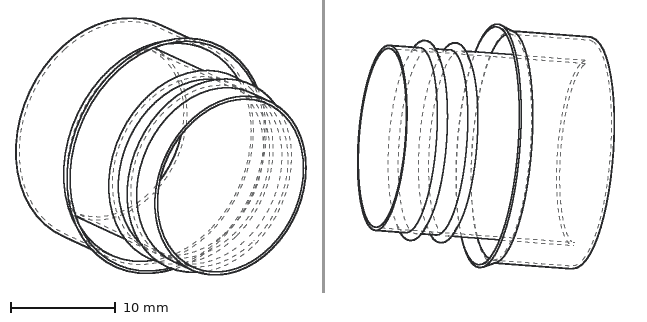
import cadquery as cq
import math

length = 20.0
wall = 0.3
bore_radius = 17.1 / 2
tube_radius = bore_radius + wall
sleeve_radius = 22.2 / 2
sleeve_bore_radius = sleeve_radius - wall
fold_radius = 0.5
inner_fold_radius = fold_radius - wall

flare_start = 8.18
flare_tip_x = 9.48
flare_tip_radius = 11.65

bead_centers = (13.5, 16.5)
bead_width = 1.0
bead_crown_radius = 0.2
bead_flank_angle = math.radians(28)


def arc_middle(center_x, center_r, radius, direction_x, direction_r):
    """Midpoint of a quarter arc facing the given diagonal direction."""
    offset = radius * math.sqrt(0.5)
    return center_x + direction_x * offset, center_r + direction_r * offset


def revolve_about_x(profile):
    return profile.close().revolve(360, (0, 0, 0), (1, 0, 0))


def folded_sheet():
    flare_angle = math.atan2(flare_tip_radius - sleeve_radius, flare_tip_x - flare_start)
    lip_inner_x = flare_tip_x + wall * math.sin(flare_angle)
    lip_inner_radius = flare_tip_radius - wall * math.cos(flare_angle)
    inner_bend_x = flare_start + wall * math.tan(flare_angle / 2)
    bore_fold_r = bore_radius + fold_radius
    sleeve_fold_r = sleeve_radius - fold_radius

    profile = (
        cq.Workplane("XY")
        .moveTo(length, bore_radius)
        .lineTo(fold_radius, bore_radius)
        .threePointArc(arc_middle(fold_radius, bore_fold_r, fold_radius, -1, -1), (0, bore_fold_r))
        .lineTo(0, sleeve_fold_r)
        .threePointArc(
            arc_middle(fold_radius, sleeve_fold_r, fold_radius, -1, 1),
            (fold_radius, sleeve_radius),
        )
        .lineTo(flare_start, sleeve_radius)
        .lineTo(flare_tip_x, flare_tip_radius)
        .lineTo(lip_inner_x, lip_inner_radius)
        .lineTo(inner_bend_x, sleeve_bore_radius)
        .lineTo(fold_radius, sleeve_bore_radius)
        .threePointArc(
            arc_middle(fold_radius, sleeve_fold_r, inner_fold_radius, -1, 1),
            (wall, sleeve_fold_r),
        )
        .lineTo(wall, bore_fold_r)
        .threePointArc(
            arc_middle(fold_radius, bore_fold_r, inner_fold_radius, -1, -1),
            (fold_radius, tube_radius),
        )
        .lineTo(length, tube_radius)
    )
    return revolve_about_x(profile)


def bead(center_x):
    """Ring with sloped flanks, a tangent round crown and its base in the tube wall."""
    half_width = bead_width / 2
    crown_half_width = bead_crown_radius * math.cos(bead_flank_angle)
    flank_height = (half_width - crown_half_width) / math.tan(bead_flank_angle)
    crown_rise = bead_crown_radius * (1 - math.sin(bead_flank_angle))
    flank_top = tube_radius + flank_height
    root_radius = tube_radius - wall / 2

    profile = (
        cq.Workplane("XY")
        .moveTo(center_x - half_width, root_radius)
        .lineTo(center_x - half_width, tube_radius)
        .lineTo(center_x - crown_half_width, flank_top)
        .threePointArc((center_x, flank_top + crown_rise), (center_x + crown_half_width, flank_top))
        .lineTo(center_x + half_width, tube_radius)
        .lineTo(center_x + half_width, root_radius)
    )
    return revolve_about_x(profile)


result = folded_sheet()
for bead_center in bead_centers:
    result = result.union(bead(bead_center))